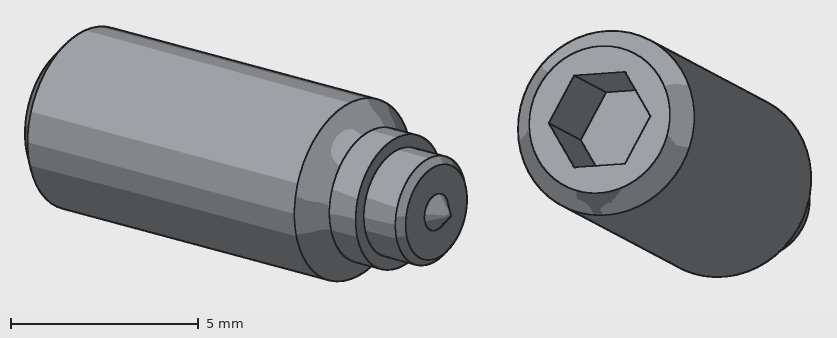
import cadquery as cq
import math

total_length = 13.0
tip_length = 0.51
pin_length = 1.27
collar_length = 0.9
flare_length = 0.68

body_diameter = 5.0
collar_diameter = 3.7
pin_diameter = 3.0
body_chamfer = 0.51
pin_chamfer = 0.2
flare_radius = 5.0

hex_across_flats = 2.5
hex_depth = 2.5

body_radius = body_diameter / 2
collar_radius = collar_diameter / 2
pin_radius = pin_diameter / 2
tip_radius = tip_length

pin_end = total_length - tip_length
collar_end = pin_end - pin_length
collar_start = collar_end - collar_length
flare_start = collar_start - flare_length


def turned_body():
    """Revolve the half profile of the screw about the X axis."""
    profile = (
        cq.Workplane("XY")
        .moveTo(0, 0)
        .lineTo(0, body_radius - body_chamfer)
        .lineTo(body_chamfer, body_radius)
        .lineTo(flare_start, body_radius)
        .radiusArc((collar_start, collar_radius), -flare_radius)
        .lineTo(collar_end, collar_radius)
        .lineTo(collar_end, pin_radius)
        .lineTo(pin_end - pin_chamfer, pin_radius)
        .lineTo(pin_end, pin_radius - pin_chamfer)
        .lineTo(pin_end, tip_radius)
        .lineTo(total_length, 0)
        .close()
    )
    return profile.revolve(360, (0, 0, 0), (1, 0, 0))


def hex_socket():
    """Hexagonal prism with flats facing up and down and two corners in the XY plane."""
    across_corners = hex_across_flats / math.cos(math.radians(30))
    return cq.Workplane("YZ").polygon(6, across_corners).extrude(hex_depth)


result = turned_body().cut(hex_socket())